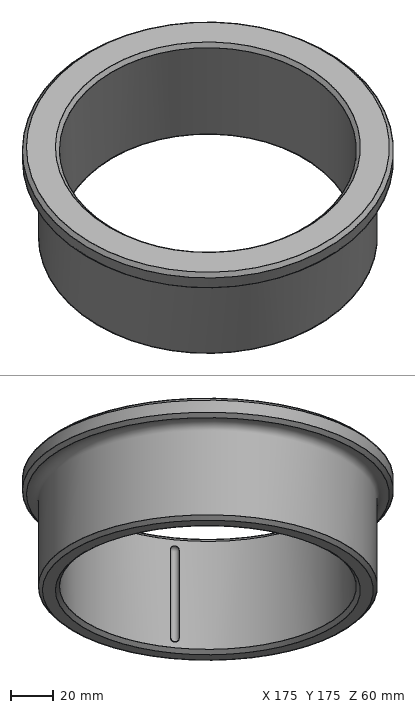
import cadquery as cq

height = 60.0
flange_diameter = 175
body_diameter = 160.0
bore_diameter = 140
flange_thickness = 10.2
edge_chamfer = 2.0
neck_fillet = 4.0

groove_radius = 2.1
groove_end_margin = 5.0

flange_radius = flange_diameter / 2
body_radius = body_diameter / 2
bore_radius = bore_diameter / 2
flange_bottom = height - flange_thickness


def make_bushing():
    """Revolve the wall section, with a chamfer on each sharp edge and a fillet under the flange."""
    wall_section = (
        cq.Workplane("XZ")
        .moveTo(bore_radius + edge_chamfer, 0)
        .lineTo(body_radius - edge_chamfer, 0)
        .lineTo(body_radius, edge_chamfer)
        .lineTo(body_radius, flange_bottom - neck_fillet)
        .tangentArcPoint((body_radius + neck_fillet, flange_bottom), relative=False)
        .lineTo(flange_radius - edge_chamfer, flange_bottom)
        .lineTo(flange_radius, flange_bottom + edge_chamfer)
        .lineTo(flange_radius, height - edge_chamfer)
        .lineTo(flange_radius - edge_chamfer, height)
        .lineTo(bore_radius + edge_chamfer, height)
        .lineTo(bore_radius, height - edge_chamfer)
        .lineTo(bore_radius, edge_chamfer)
        .close()
    )
    return wall_section.revolve(360, (0, 0, 0), (0, 1, 0))


def make_groove_cutter():
    """Vertical rod with ball ends, centred on the bore surface."""
    lower_ball_height = groove_end_margin + groove_radius
    upper_ball_height = height - lower_ball_height
    cutter = (
        cq.Workplane("XY", origin=(bore_radius, 0, lower_ball_height))
        .circle(groove_radius)
        .extrude(upper_ball_height - lower_ball_height)
    )
    for ball_height in (lower_ball_height, upper_ball_height):
        ball = cq.Workplane("XY").sphere(groove_radius)
        cutter = cutter.union(ball.translate((bore_radius, 0, ball_height)))
    return cutter


result = make_bushing().cut(make_groove_cutter())